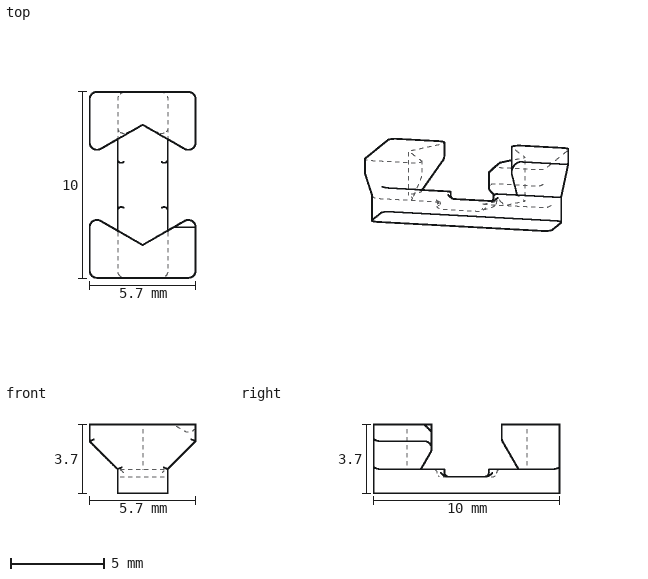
import cadquery as cq
import math

length = 10.0
body_width = 2.7
wing_width = 5.7
body_height = 1.3
total_height = 3.7
edge_radius = 0.4

wing_overhang = (wing_width - body_width) / 2
wing_side_bottom = body_height + wing_overhang
notch_vertex_y = 3.23
notch_angle = math.radians(30)
wing_tip_y = notch_vertex_y - wing_width / 2 * math.tan(notch_angle)

tip_center_x = wing_width / 2 - edge_radius
notch_y_at_tip_center = notch_vertex_y - tip_center_x * math.tan(notch_angle)
tip_center_y = notch_y_at_tip_center + edge_radius / math.cos(notch_angle)
tip_cut_angle = math.radians(45)

recess_radius = 1.6
recess_depth = 0.4
recess_rounding = 0.2
recess_floor = body_height - recess_depth
rim_radius = recess_radius + recess_rounding

margin = 0.5


def make_body():
    """Plain bar along Y with rounded vertical corners."""
    body = cq.Workplane("XY").box(body_width, length, body_height, centered=(True, True, False))
    return body.edges("|Z").fillet(edge_radius)


def make_wing_root():
    """Outer end of the body carried up inside the +Y wing, so their rounded edges meet in a mitre."""
    root = cq.Workplane("XY").box(body_width, length, wing_side_bottom, centered=(True, True, False))
    outer_end = cq.Workplane("XY", origin=(0, length / 2, 0)).box(
        wing_width, 2 * edge_radius, 2 * total_height
    )
    return root.edges("|Z").fillet(edge_radius).intersect(outer_end)


def make_wing(round_underside):
    """Wing at the +Y end, with slopes that run on below the body top until the rounding is done."""
    half_width = wing_width / 2
    foot_z = body_height - margin
    foot_half = body_width / 2 - margin
    section = (
        cq.Workplane("XZ", origin=(0, length / 2, 0))
        .moveTo(-foot_half, foot_z)
        .lineTo(foot_half, foot_z)
        .lineTo(half_width, wing_side_bottom)
        .lineTo(half_width, total_height)
        .lineTo(-half_width, total_height)
        .lineTo(-half_width, wing_side_bottom)
        .close()
        .extrude(length / 2)
    )
    plan = (
        cq.Workplane("XY")
        .moveTo(0, notch_vertex_y)
        .lineTo(half_width, wing_tip_y)
        .lineTo(half_width, length / 2)
        .lineTo(-half_width, length / 2)
        .lineTo(-half_width, wing_tip_y)
        .close()
        .extrude(total_height)
    )
    wing = section.intersect(plan)
    return round_wing(wing, round_underside)


def round_wing(wing, round_underside):
    """Round the outer face and the tips of a wing, and on request its underside as well."""
    wing_top = total_height - margin / 2
    for side in (-1, 1):
        inner_x = side * body_width / 2
        outer_x = side * wing_width
        whole_side = cq.selectors.BoxSelector((inner_x, 0, body_height), (outer_x, length, wing_top))
        outer_end = cq.selectors.BoxSelector(
            (inner_x, length / 2 - margin, body_height), (outer_x, length, wing_top)
        )
        tip = cq.selectors.BoxSelector(
            (side * tip_center_x, 0, wing_side_bottom + margin / 2), (outer_x, tip_center_y, wing_top)
        )
        chosen = whole_side if round_underside else outer_end + tip
        wing = wing.edges(chosen).fillet(edge_radius)
    above_body = cq.Workplane("XY", origin=(0, 0, body_height)).box(
        2 * wing_width, 2 * length, total_height, centered=(True, True, False)
    )
    return wing.intersect(above_body).union(make_wing_root())


def make_tip_cut():
    """Prism over the (+X, -Y) wing tip that leaves a face sloping down towards the body centre."""
    drop = tip_center_y * math.tan(tip_cut_angle)
    return (
        cq.Workplane("YZ")
        .moveTo(-tip_center_y, total_height)
        .lineTo(0, total_height)
        .lineTo(0, total_height - drop)
        .close()
        .extrude(wing_width)
    )


def make_recess_pocket():
    """Recess cutter with round ends, rounded side corners and a rounded floor edge."""
    half_width = body_width / 2

    corner_x = half_width - recess_rounding
    corner_y = math.sqrt(rim_radius**2 - corner_x**2)
    join_x = corner_x * recess_radius / rim_radius
    join_y = corner_y * recess_radius / rim_radius
    corner_middle = math.atan2(-corner_y, -corner_x) / 2
    middle_x = corner_x + recess_rounding * math.cos(corner_middle)
    middle_y = corner_y + recess_rounding * math.sin(corner_middle)

    outside_x = half_width + 2 * margin
    outside_y = corner_y + margin

    outline = cq.Workplane("XY", origin=(0, 0, recess_floor)).moveTo(-join_x, join_y)
    for turn in (1, -1):
        outline = (
            outline.threePointArc((0, turn * recess_radius), (turn * join_x, turn * join_y))
            .threePointArc((turn * middle_x, turn * middle_y), (turn * half_width, turn * corner_y))
            .lineTo(turn * half_width, turn * outside_y)
            .lineTo(turn * outside_x, turn * outside_y)
            .lineTo(turn * outside_x, -turn * outside_y)
            .lineTo(turn * half_width, -turn * outside_y)
            .lineTo(turn * half_width, -turn * corner_y)
            .threePointArc((turn * middle_x, -turn * middle_y), (turn * join_x, -turn * join_y))
        )
    pocket = outline.close().extrude(recess_depth)
    return pocket.faces("<Z").edges().fillet(recess_rounding)


def make_recess_rim():
    """Round cutter whose flared side rounds over the upper rim of the recess."""
    rim_bottom = body_height - recess_rounding
    arc_offset = recess_rounding * math.cos(math.radians(45))
    return (
        cq.Workplane("XZ")
        .moveTo(0, rim_bottom)
        .lineTo(recess_radius, rim_bottom)
        .threePointArc((rim_radius - arc_offset, rim_bottom + arc_offset), (rim_radius, body_height))
        .lineTo(0, body_height)
        .close()
        .revolve(360, (0, 0, 0), (0, 1, 0))
    )


def make_part():
    """Body with its central recess, a fully rounded wing at +Y and a plainer one at -Y."""
    body = make_body().cut(make_recess_pocket()).cut(make_recess_rim())
    rounded_wing = make_wing(round_underside=True)
    plain_wing = make_wing(round_underside=False).mirror("XZ").cut(make_tip_cut())
    return body.union(rounded_wing).union(plain_wing)


result = make_part().solids()